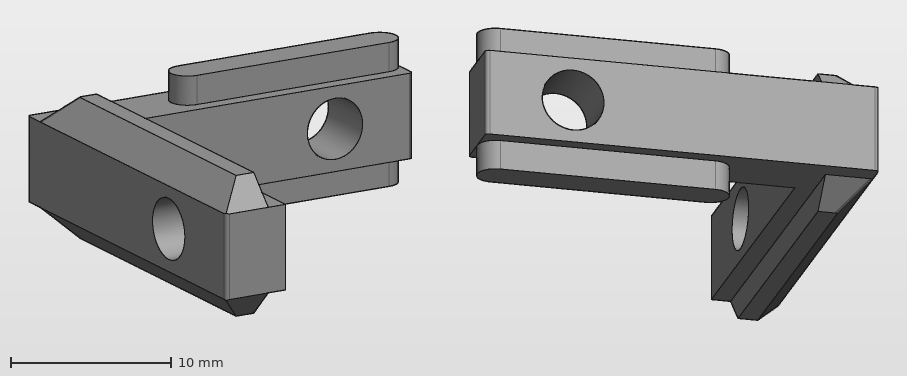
import cadquery as cq

length_x = 24.5
length_y = 25.4
body_height = 5.6
arm_x_thickness = 4.32
arm_y_thickness = 4.25
corner_radius = 0.25

total_height = 9.4
pad_length = 16.25
pad_width = 2.35
pad_height = (total_height - body_height) / 2

rib_start_x = 1.47
rib_depth = 3.07
rib_height = 1.8

hole_diameter = 4.0
hole_x = 17.45
hole_y = 19.75


def make_body(height):
    """L-shaped prism of the given height, centred on Z = 0."""
    outline = [
        (0, 0),
        (length_x, 0),
        (length_x, arm_x_thickness),
        (arm_y_thickness, arm_x_thickness),
        (arm_y_thickness, length_y),
        (0, length_y),
    ]
    body = cq.Workplane("XY").polyline(outline).close().extrude(height / 2, both=True)
    body = body.edges("|Z and <Y").fillet(corner_radius)
    return body.edges("|Z and >Y").fillet(corner_radius)


def make_pad():
    """Round-ended pad on the upper face, flush with the tip of the Y arm."""
    return (
        cq.Workplane("XY", origin=(arm_y_thickness / 2, length_y - pad_length / 2, body_height / 2))
        .slot2D(pad_length, pad_width, 90)
        .extrude(pad_height)
    )


def make_rib():
    """Upper rib with a 45 degree front slope and 45 degree slopes at both ends."""
    base_z = body_height / 2
    top_z = base_z + rib_height
    side_profile = [(0, base_z), (rib_depth, base_z), (rib_depth, top_z), (rib_height, top_z)]
    end_profile = [
        (rib_start_x, base_z),
        (length_x, base_z),
        (length_x - rib_height, top_z),
        (rib_start_x + rib_height, top_z),
    ]
    bar = cq.Workplane("YZ").polyline(side_profile).close().extrude(length_x)
    ends = cq.Workplane("XZ").polyline(end_profile).close().extrude(-rib_depth)
    rib = bar.intersect(ends).edges("|(1, 1, 1)").fillet(corner_radius)
    return rib.intersect(make_body(total_height))


def make_holes():
    through_x_arm = (
        cq.Workplane("XZ").center(hole_x, 0).circle(hole_diameter / 2).extrude(-arm_x_thickness)
    )
    through_y_arm = (
        cq.Workplane("YZ").center(hole_y, 0).circle(hole_diameter / 2).extrude(arm_y_thickness)
    )
    return through_x_arm.union(through_y_arm)


result = make_body(body_height)
for upper_feature in (make_pad(), make_rib()):
    result = result.union(upper_feature).union(upper_feature.mirror("XY"))
result = result.cut(make_holes())